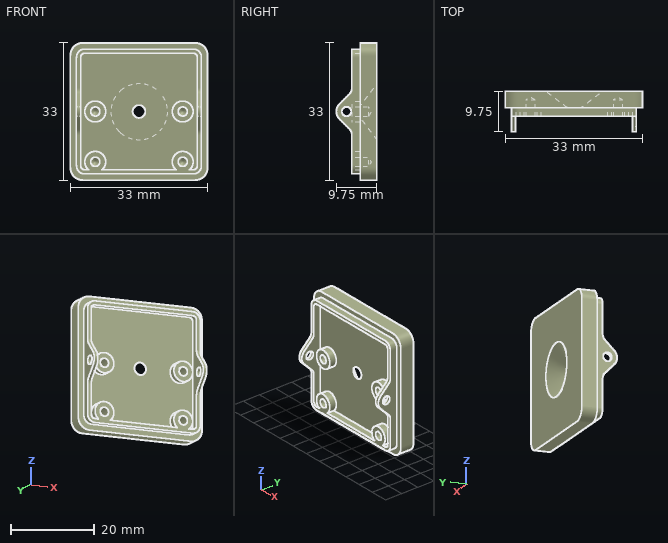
import cadquery as cq
import math

side = 33.0
base_thickness = 4.0
base_corner_radius = 3.0

rim_side = 30.0
rim_height = 2.0
rim_wall = 1.0
rim_corner_radius = 2.0
recess_side = rim_side - 2 * rim_wall
recess_corner_radius = rim_corner_radius - rim_wall
rim_top = base_thickness + rim_height

center_hole_diameter = 3.0
center_hole_back_diameter = 13.53
small_hole_diameter = 2.2
boss_diameter = 5.0
boss_x = 10.5
boss_rows_z = (0.0, -12.08)
screw_hole_depth = 4.0
drill_point_angle = 118.0

total_depth = 9.75
ear_tip_radius = 2.48
ear_root_radius = 2.0
ear_slope = math.radians(45)
ear_hole_height = total_depth - ear_tip_radius


def front_plane(height):
    """Workplane facing -Y, at the given height above the back of the plate."""
    return cq.Workplane("XZ", origin=(0, -height, 0))


def rounded_square(size, radius, start, height):
    block = front_plane(start).rect(size, size).extrude(height)
    return block.edges("|Y").fillet(radius)


def make_ear(inner_x):
    """Rounded triangular lug, one rim wall thick, with flared roots and a pin hole."""
    flank_foot = ear_tip_radius / math.cos(ear_slope) + (ear_hole_height - rim_top) / math.tan(ear_slope)
    root_tangent = ear_root_radius * math.tan(ear_slope / 2)
    root_z = flank_foot + root_tangent

    def root_point(angle):
        """Half width and height on the root arc, turned from the rim top by the angle."""
        return (
            root_z - ear_root_radius * math.sin(angle),
            rim_top + ear_root_radius * (1 - math.cos(angle)),
        )

    mid_z, mid_y = root_point(ear_slope / 2)
    end_z, end_y = root_point(ear_slope)
    tip_z = ear_tip_radius * math.sin(ear_slope)
    tip_y = ear_hole_height + ear_tip_radius * math.cos(ear_slope)

    profile = (
        cq.Workplane("YZ", origin=(inner_x, 0, 0))
        .moveTo(-base_thickness, root_z)
        .lineTo(-rim_top, root_z)
        .threePointArc((-mid_y, mid_z), (-end_y, end_z))
        .lineTo(-tip_y, tip_z)
        .threePointArc((-total_depth, 0), (-tip_y, -tip_z))
        .lineTo(-end_y, -end_z)
        .threePointArc((-mid_y, -mid_z), (-rim_top, -root_z))
        .lineTo(-base_thickness, -root_z)
        .close()
    )
    pin_hole = (
        cq.Workplane("YZ", origin=(inner_x, -ear_hole_height, 0))
        .circle(small_hole_diameter / 2)
        .extrude(rim_wall)
    )
    return profile.extrude(rim_wall).cut(pin_hole)


def make_screw_hole():
    """Blind drilled hole on the Y axis, with a conical bottom."""
    radius = small_hole_diameter / 2
    bottom = rim_top - screw_hole_depth
    point_depth = radius / math.tan(math.radians(drill_point_angle / 2))
    return (
        cq.Workplane("XY")
        .polyline([(0, -rim_top), (radius, -rim_top), (radius, -bottom), (0, point_depth - bottom)])
        .close()
        .revolve(360, (0, 0, 0), (0, 1, 0))
    )


base = rounded_square(side, base_corner_radius, 0, base_thickness)
rim = rounded_square(rim_side, rim_corner_radius, base_thickness, rim_height)
recess = rounded_square(recess_side, recess_corner_radius, base_thickness, rim_height)
result = base.union(rim.cut(recess))

for ear_inner_x in (-rim_side / 2, recess_side / 2):
    result = result.union(make_ear(ear_inner_x))

boss_places = [(x, z) for x in (-boss_x, boss_x) for z in boss_rows_z]
bosses = front_plane(base_thickness).pushPoints(boss_places).circle(boss_diameter / 2).extrude(rim_height)
result = result.union(bosses)
screw_hole = make_screw_hole()
for x, z in boss_places:
    result = result.cut(screw_hole.translate((x, 0, z)))

center_hole = (
    front_plane(0)
    .circle(center_hole_back_diameter / 2)
    .workplane(offset=base_thickness)
    .circle(center_hole_diameter / 2)
    .loft()
)
result = result.cut(center_hole)